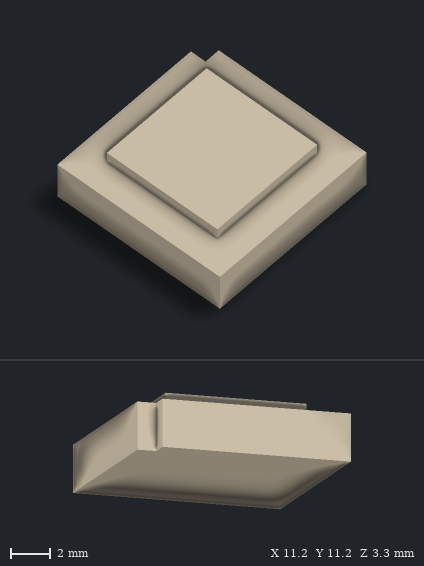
import cadquery as cq

base_side = 11.18
total_height = 3.3
base_height = 2.53
notch_side = 1.01

pad_side = 7.6
pad_height = total_height - base_height


def make_base():
    """Base block standing on Z = 0, with its -X, +Y corner notched through."""
    half = base_side / 2
    block = cq.Workplane("XY").rect(base_side, base_side).extrude(base_height)
    notch = (
        cq.Workplane("XY")
        .center(-half + notch_side / 2, half - notch_side / 2)
        .rect(notch_side, notch_side)
        .extrude(base_height)
    )
    return block.cut(notch)


def make_pad():
    """Raised pad on the top face of the base."""
    return (
        cq.Workplane("XY")
        .workplane(offset=base_height)
        .rect(pad_side, pad_side)
        .extrude(pad_height)
    )


result = make_base().union(make_pad())